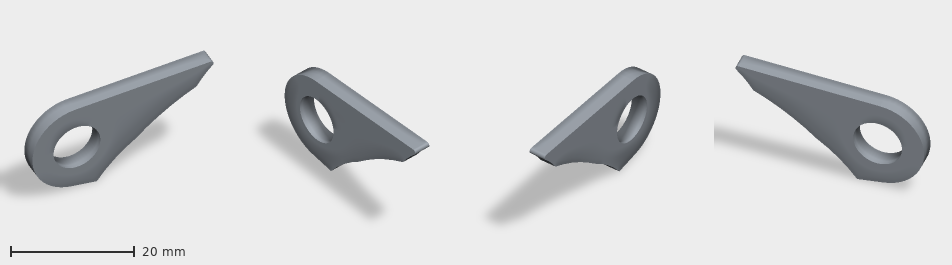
import cadquery as cq
import math

thickness = 3.0
total_length = 32.52
hole_radius = 4.2
hub_radius = 8.0

tip_radius = 0.5
tip_y = total_length - hub_radius - tip_radius
tip_z = 8.68
tip_end_angle = -40.0

tip_arc_middle = (23.05, 7.0)
notch = (21.45, 4.88)
front_arc_middle = (17.4, 2.83)
belly_joint = (10.55, -2.08)
rear_arc_middle = (6.15, -5.6)
heel = (3.55, -8.55)


def on_circle(center, radius, angle):
    """Point on a circle at an angle in radians measured from +Y towards +Z."""
    return (center[0] + radius * math.cos(angle), center[1] + radius * math.sin(angle))


hub_center = (0.0, 0.0)
tip_center = (tip_y, tip_z)

center_angle = math.atan2(tip_z, tip_y)
center_distance = math.hypot(tip_y, tip_z)
top_angle = center_angle + math.acos((hub_radius - tip_radius) / center_distance)
tip_end = math.radians(tip_end_angle)

heel_angle = math.atan2(heel[1], heel[0])
heel_tangent_angle = heel_angle - math.acos(hub_radius / math.hypot(*heel))
hub_middle_angle = (top_angle + heel_tangent_angle + 2 * math.pi) / 2

profile = (
    cq.Workplane("YZ", origin=(-thickness / 2, 0, 0))
    .moveTo(*on_circle(hub_center, hub_radius, top_angle))
    .lineTo(*on_circle(tip_center, tip_radius, top_angle))
    .threePointArc(
        on_circle(tip_center, tip_radius, (top_angle + tip_end) / 2),
        on_circle(tip_center, tip_radius, tip_end),
    )
    .threePointArc(tip_arc_middle, notch)
    .threePointArc(front_arc_middle, belly_joint)
    .threePointArc(rear_arc_middle, heel)
    .lineTo(*on_circle(hub_center, hub_radius, heel_tangent_angle))
    .threePointArc(
        on_circle(hub_center, hub_radius, hub_middle_angle),
        on_circle(hub_center, hub_radius, top_angle),
    )
    .close()
    .moveTo(*hub_center)
    .circle(hole_radius)
)

result = profile.extrude(thickness)